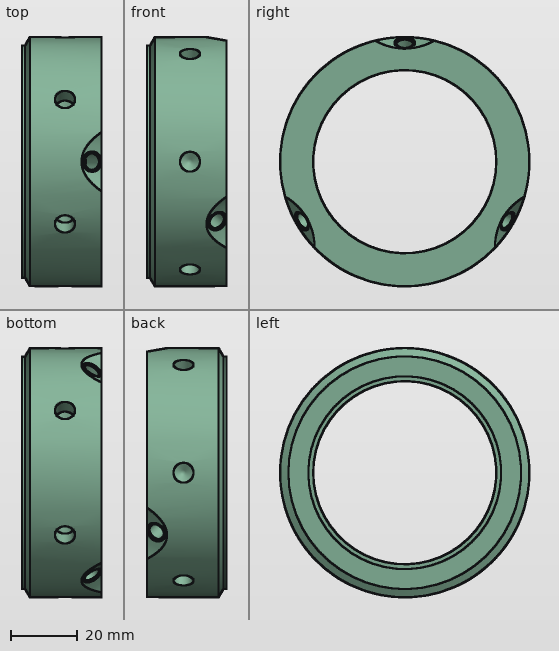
import cadquery as cq
import math

outer_diameter = 75.0
width = 24.0
collar_diameter = 70.0
collar_length = 1.0
chamfer_angle = 30.0
bore_diameter = 55.0
recess_diameter = 58.0
recess_depth = 1.5

spanner_hole_count = 6
spanner_hole_diameter = 6.0
spanner_hole_depth = 6.0
spanner_hole_x = 13.0
drill_point_angle = 118.0

screw_count = 3
screw_tilt = 30.0
scallop_length = 6.1
scallop_radius = 20.0
screw_setback = 2.85
screw_hole_diameter = 4.95
screw_mouth_diameter = 6.1
screw_mouth_depth = 0.2

outer_radius = outer_diameter / 2
tool_reach = outer_radius


def make_ring():
    """Revolve the collar, its sloping shoulder and the stepped bore."""
    collar_radius = collar_diameter / 2
    bore_radius = bore_diameter / 2
    recess_radius = recess_diameter / 2
    chamfer_length = (outer_radius - collar_radius) * math.tan(math.radians(chamfer_angle))
    profile = [
        (0, recess_radius),
        (0, collar_radius),
        (collar_length, collar_radius),
        (collar_length + chamfer_length, outer_radius),
        (width, outer_radius),
        (width, bore_radius),
        (recess_depth, bore_radius),
        (recess_depth, recess_radius),
    ]
    return cq.Workplane("XY").polyline(profile).close().revolve(360, (0, 0, 0), (1, 0, 0))


def make_spanner_cutter():
    """Drill shape that enters the rim along -Y, with a conical point."""
    radius = spanner_hole_diameter / 2
    shoulder = outer_radius - spanner_hole_depth
    tip = shoulder - radius / math.tan(math.radians(drill_point_angle / 2))
    top = outer_radius + radius
    profile = [(0, tip), (radius, shoulder), (radius, top), (0, top)]
    drill = cq.Workplane("XY").polyline(profile).close().revolve(360, (0, 0, 0), (0, 1, 0))
    return drill.translate((spanner_hole_x, 0, 0))


def make_screw_cutter():
    """Scallop and stepped hole at the +Z side, square to the scallop floor."""
    tilt = math.radians(screw_tilt)
    floor_drop = (scallop_length - screw_setback) * math.tan(tilt)
    mouth = cq.Vector(width - screw_setback, 0, outer_radius - floor_drop)
    outward = cq.Vector(math.sin(tilt), 0, math.cos(tilt))
    along_floor = cq.Vector(math.cos(tilt), 0, -math.sin(tilt))

    scallop_start = mouth + outward * scallop_radius - along_floor * tool_reach
    scallop = cq.Solid.makeCylinder(scallop_radius, 2 * tool_reach, scallop_start, along_floor)
    hole = cq.Solid.makeCylinder(screw_hole_diameter / 2, outer_radius / 2, mouth, outward * -1)
    step_bottom = mouth - outward * screw_mouth_depth
    step = cq.Solid.makeCylinder(screw_mouth_diameter / 2, screw_mouth_diameter, step_bottom, outward)
    return cq.Workplane(scallop.fuse(hole, step))


def cut_around(body, cutter, count):
    """Cut evenly spaced copies of a cutter around the X axis."""
    for index in range(count):
        body = body.cut(cutter.rotate((0, 0, 0), (1, 0, 0), index * 360 / count))
    return body


result = make_ring()
result = cut_around(result, make_spanner_cutter(), spanner_hole_count)
result = cut_around(result, make_screw_cutter(), screw_count)